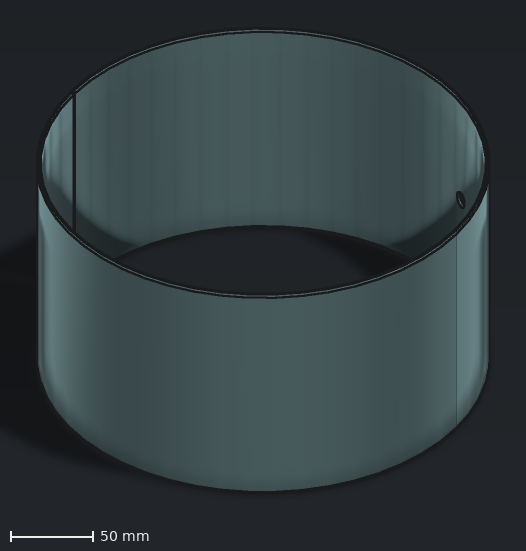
import cadquery as cq

outer_diameter = 275.0
height = 150.0
wall = 2.5
bevel_inset = 0.8
bevel_drop = 2.0
slit_width = 2.0
slit_center_y = 1.0
hole_diameter = 10.0
hole_angle = 59.0

outer_radius = outer_diameter / 2
inner_radius = outer_radius - wall
mid_radius = outer_radius - wall / 2
half_height = height / 2
cut_depth = 4 * wall


def make_band():
    """Thin ring centred on the origin, bevelled inside and outside on both rims."""
    section = [
        (inner_radius, -half_height + bevel_drop),
        (inner_radius + bevel_inset, -half_height),
        (outer_radius - bevel_inset, -half_height),
        (outer_radius, -half_height + bevel_drop),
        (outer_radius, half_height - bevel_drop),
        (outer_radius - bevel_inset, half_height),
        (inner_radius + bevel_inset, half_height),
        (inner_radius, half_height - bevel_drop),
    ]
    return cq.Workplane("XZ").polyline(section).close().revolve(360, (0, 0), (0, 1))


def make_slit():
    """Full-height slot that opens the band on the -X side."""
    slot = cq.Workplane("XY").box(cut_depth, slit_width, height)
    return slot.translate((-mid_radius, slit_center_y, 0))


def make_hole():
    """Radial hole through the wall at mid height."""
    drill = cq.Workplane("YZ").circle(hole_diameter / 2).extrude(cut_depth / 2, both=True)
    return drill.translate((mid_radius, 0, 0)).rotate((0, 0, 0), (0, 0, 1), hole_angle)


result = make_band().cut(make_slit()).cut(make_hole())